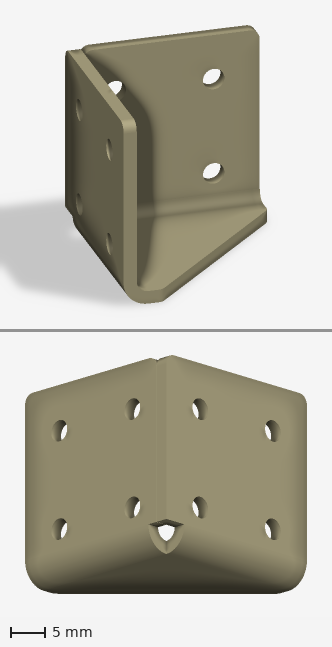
import cadquery as cq
import math

size = 29.0
thickness = 2.0
bend_radius = 3.7
wall_gap = 0.1
corner_radius = 1.5
base_end_width = 5.92
hole_diameter = 3.25
hole_spacing = 15.0

inner_bend_radius = bend_radius - thickness
first_hole = (size - hole_spacing) / 2
hole_positions = [
    (along, height)
    for along in (first_hole, first_hole + hole_spacing)
    for height in (first_hole, first_hole + hole_spacing)
]


def wall(plane, start, outward):
    """Upright plate from start to size, with rounded top corners and four holes."""
    normal_edges = "|Y" if plane == "XZ" else "|X"
    plate = (
        cq.Workplane(plane)
        .moveTo(start, bend_radius)
        .lineTo(size, bend_radius)
        .lineTo(size, size)
        .lineTo(start, size)
        .close()
        .extrude(outward * thickness)
        .edges(normal_edges + " and >Z")
        .fillet(corner_radius)
    )
    holes = (
        cq.Workplane(plane)
        .pushPoints(hole_positions)
        .circle(hole_diameter / 2)
        .extrude(outward * thickness)
    )
    return plate.cut(holes)


def bend(plane, start, end):
    """Quarter-round bend joining the base to a wall, between two plane offsets."""
    diagonal = math.sqrt(0.5)
    outer_middle = bend_radius * (1 - diagonal)
    inner_middle = bend_radius - inner_bend_radius * diagonal
    return (
        cq.Workplane(plane)
        .workplane(offset=start)
        .moveTo(0, bend_radius)
        .threePointArc((outer_middle, outer_middle), (bend_radius, 0))
        .lineTo(bend_radius, thickness)
        .threePointArc((inner_middle, inner_middle), (thickness, bend_radius))
        .close()
        .extrude(end - start)
    )


def base():
    """Flat base with its far corner cut diagonally and the cut's ends rounded."""
    plate = (
        cq.Workplane("XY")
        .moveTo(bend_radius, bend_radius)
        .lineTo(size, bend_radius)
        .lineTo(size, base_end_width)
        .lineTo(base_end_width, size)
        .lineTo(bend_radius, size)
        .close()
        .extrude(thickness)
    )
    diagonal_ends = ">(1, 1, 0)"
    return plate.edges("|Z").edges(diagonal_ends).fillet(corner_radius)


front_wall = wall("XZ", 0, -1)
left_wall = wall("YZ", thickness + wall_gap, 1)
front_bend = bend("YZ", bend_radius, size)
left_bend = bend("XZ", -size, -bend_radius)

result = base().union(front_bend).union(left_bend).union(front_wall).union(left_wall)